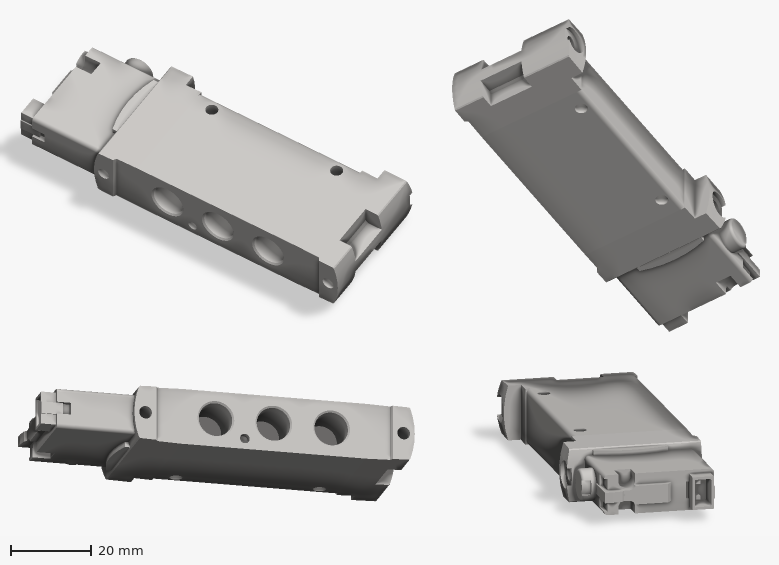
import cadquery as cq
import math

TOTAL_LENGTH = 95.4
TOTAL_DEPTH = 34.8
BODY_THICKNESS = 14.4
EPS = 0.1
MOUNT_Y = 0.9

CAP_START_X = 23.3
CAP_LENGTH = 12.3
MID_X = (CAP_START_X + TOTAL_LENGTH) / 2
CAP_CROWN = 1.1
CAP_HALF_Z_INNER = BODY_THICKNESS / 2
CAP_HALF_Z_OUTER = 6.9
CAP_EDGE_BEVEL = 0.3
CAP_TOP_Y = 30.4
BODY_TOP_Y = 30.1
BODY_EDGE_RADIUS = 1.1
TAB_LENGTH = 7.7
TAB_CROWN = 1.1
FOOT_TIP_LENGTH = 5.6
FOOT_ROOT_LENGTH = 6.1

MOUNT_HOLE_DIAMETER = 3.2
MOUNT_HOLE_INSET = 2.9
SEAT_DIAMETER = 7.1
SEAT_Y = 33.5
SIDE_HOLE_SPACING = 36.9
SIDE_HOLE_Y = 27.0
PORT_DIAMETER = 8.6
PORT_MOUTH_DIAMETER = 9.4
PORT_SPACING = 14.9
PORT_DEPTH = 11.45
PILOT_PORT_DIAMETER = 2.5
PILOT_PORT_X = 51.9
PILOT_PORT_Z = -4.5
PILOT_PORT_DEPTH = 1.9
DRILL_POINT_ANGLE = 118.0

NOTCH_LENGTH = 4.9
NOTCH_Y_MIN = 8.4
NOTCH_Y_MAX = 20.5
NOTCH_FLOOR_Z = 2.0
NOTCH_BEVEL = 0.7

LENS_Y_MIN = 8.9
LENS_Y_MAX = 27.95
LENS_CROWN_X = 21.6
LENS_EDGE_X = 23.1
LENS_TOP_Z = 6.5

BOX_Y_MIN = 1.8
BOX_Y_MAX = 30.05
BOX_THICKNESS = 10.3
BOX_HALF_Z = BOX_THICKNESS / 2
BOX_EDGE_RADIUS = 1.0
BOX_FRONT_X = 3.8
SOLENOID_FRONT_X = 8.4
SOLENOID_REAR_X = CAP_START_X + CAP_CROWN

BUTTON_DIAMETER = 8.1
BUTTON_X = 15.55
BUTTON_TOP_Y = 33.7
BUTTON_EDGE_RADIUS = 0.7
BUTTON_NOTCH_WIDTH = 3.8
BUTTON_NOTCH_FLOOR_Y = 31.4
BUTTON_CORE_DIAMETER = 6.7

CLIP_FRONT_X = 2.1
CLIP_HOOK_X = 1.1
CLIP_NECK_X = 1.5
CLIP_HALF_Z = 2.4
CLIP_Y_MIN = 12.7
CLIP_BEVEL_Y = 14.0
CLIP_SLOPE_Y_MIN = 25.4
CLIP_SLOPE_Y_MAX = 25.95
CLIP_HOOK_Y = 28.4
CLIP_TOP_Y = 30.4
STRAP_END_X = 10.9
RELIEF_Y = 29.2
RELIEF_HALF_Z = 4.2
GROOVE_WIDTH = 4.3
GROOVE_Y = 24.2
GROOVE_FLOOR_Z = 1.3
SOCKET_Y_MIN = 2.8
SOCKET_Y_MAX = 8.3
SOCKET_HALF_Z = 4.2
SOCKET_WALL = 0.7
SOCKET_CORNER_RADIUS = 0.6
SOCKET_DEPTH = 5.7
PIN_Y = 6.1
PIN_HALF_SPACING = 2.0
PIN_WIDTH_Y = 1.3
PIN_WIDTH_Z = 1.0
PIN_LENGTH = 2.4
RAIL_Y = 2.5
RAIL_END_X = 5.5
LATCH_END_X = 7.4
LATCH_FLOOR_Y = 3.2
LATCH_HALF_Z = 1.5
KEYWAY_Y_MAX = 9.0
KEYWAY_HALF_Z = 2.2
KEYWAY_DEPTH = 1.0


def block(x_range, y_range, z_range):
    """Box between the given coordinate limits."""
    size = [high - low for low, high in (x_range, y_range, z_range)]
    corner = (x_range[0], y_range[0], z_range[0])
    return cq.Workplane("XY").box(*size, centered=False).translate(corner)


def cylinder_y(x, z, diameter, y_start, y_end):
    """Cylinder along Y between two Y positions."""
    solid = cq.Solid.makeCylinder(diameter / 2, y_end - y_start, cq.Vector(x, y_start, z), cq.Vector(0, 1, 0))
    return cq.Workplane(obj=solid)


def mirrored_pair(shape, plane, base=(0, 0, 0)):
    """The shape together with its mirror image."""
    return shape.union(shape.mirror(plane, base))


def cap_blank():
    """Solenoid-side cap: crowned end in XZ, T outline in XY, crowned tab face in YZ."""
    inner_x = CAP_START_X + CAP_LENGTH
    edge_x = CAP_START_X + CAP_CROWN
    bevel_z = CAP_HALF_Z_OUTER - CAP_EDGE_BEVEL
    side = (
        cq.Workplane("XZ")
        .moveTo(inner_x, -CAP_HALF_Z_INNER)
        .lineTo(edge_x + CAP_EDGE_BEVEL, -CAP_HALF_Z_OUTER)
        .lineTo(edge_x, -bevel_z)
        .threePointArc((CAP_START_X, 0), (edge_x, bevel_z))
        .lineTo(edge_x + CAP_EDGE_BEVEL, CAP_HALF_Z_OUTER)
        .lineTo(inner_x, CAP_HALF_Z_INNER)
        .close()
        .extrude(-TOTAL_DEPTH)
    )
    outline = (
        cq.Workplane("XY")
        .polyline([
            (CAP_START_X, 0),
            (CAP_START_X + FOOT_TIP_LENGTH, 0),
            (CAP_START_X + FOOT_ROOT_LENGTH, MOUNT_Y),
            (inner_x, MOUNT_Y),
            (inner_x, CAP_TOP_Y),
            (CAP_START_X + TAB_LENGTH, CAP_TOP_Y),
            (CAP_START_X + TAB_LENGTH, TOTAL_DEPTH),
            (CAP_START_X, TOTAL_DEPTH),
        ])
        .close()
        .extrude(CAP_HALF_Z_INNER, both=True)
    )
    tab_edge_y = TOTAL_DEPTH - TAB_CROWN
    crown = (
        cq.Workplane("YZ", origin=(CAP_START_X, 0, 0))
        .moveTo(0, -CAP_HALF_Z_INNER)
        .lineTo(tab_edge_y, -CAP_HALF_Z_INNER)
        .threePointArc((TOTAL_DEPTH, 0), (tab_edge_y, CAP_HALF_Z_INNER))
        .lineTo(0, CAP_HALF_Z_INNER)
        .close()
        .extrude(CAP_LENGTH)
    )
    return side.intersect(outline).intersect(crown)


def end_cap():
    """Cap with its mounting hole and the screw seat in the tab."""
    hole_x = CAP_START_X + MOUNT_HOLE_INSET
    hole = cylinder_y(hole_x, 0, MOUNT_HOLE_DIAMETER, -EPS, TOTAL_DEPTH)
    seat = cylinder_y(hole_x, 0, SEAT_DIAMETER, SEAT_Y, TOTAL_DEPTH + EPS)
    return cap_blank().cut(hole).cut(seat)


def middle_block():
    """Prism between the caps, rounded along its two far edges."""
    x_range = (CAP_START_X + CAP_LENGTH, TOTAL_LENGTH - CAP_LENGTH)
    z_range = (-BODY_THICKNESS / 2, BODY_THICKNESS / 2)
    body = block(x_range, (MOUNT_Y, BODY_TOP_Y), z_range)
    return body.edges("|X and >Y").fillet(BODY_EDGE_RADIUS)


def port(x):
    """Main port with a short conical mouth."""
    mouth_depth = (PORT_MOUTH_DIAMETER - PORT_DIAMETER) / 2
    mouth = cq.Solid.makeCone(
        PORT_MOUTH_DIAMETER / 2, PORT_DIAMETER / 2, mouth_depth, cq.Vector(x, MOUNT_Y, 0), cq.Vector(0, 1, 0)
    )
    return cylinder_y(x, 0, PORT_DIAMETER, MOUNT_Y, MOUNT_Y + PORT_DEPTH).union(cq.Workplane(obj=mouth))


def pilot_port():
    """Small blind hole with a drill point."""
    radius = PILOT_PORT_DIAMETER / 2
    floor_y = MOUNT_Y + PILOT_PORT_DEPTH
    point_depth = radius / math.tan(math.radians(DRILL_POINT_ANGLE / 2))
    point = cq.Solid.makeCone(
        radius, 0, point_depth, cq.Vector(PILOT_PORT_X, floor_y, PILOT_PORT_Z), cq.Vector(0, 1, 0)
    )
    bore = cylinder_y(PILOT_PORT_X, PILOT_PORT_Z, PILOT_PORT_DIAMETER, MOUNT_Y, floor_y)
    return bore.union(cq.Workplane(obj=point))


def far_cap_notches():
    """Recesses in both broad faces of the far cap, bevelled at the root."""
    start_x = TOTAL_LENGTH - NOTCH_LENGTH
    profile = [
        (start_x, CAP_HALF_Z_INNER),
        (start_x, NOTCH_FLOOR_Z + NOTCH_BEVEL),
        (start_x + NOTCH_BEVEL, NOTCH_FLOOR_Z),
        (TOTAL_LENGTH, NOTCH_FLOOR_Z),
        (TOTAL_LENGTH, CAP_HALF_Z_INNER),
    ]
    notch = (
        cq.Workplane("XZ", origin=(0, NOTCH_Y_MIN, 0))
        .polyline(profile)
        .close()
        .extrude(NOTCH_Y_MIN - NOTCH_Y_MAX)
    )
    return mirrored_pair(notch, "XY")


def lens_guards():
    """Lens-shaped ledges above and below the solenoid."""
    lens = (
        cq.Workplane("XY", origin=(0, 0, BOX_HALF_Z))
        .moveTo(SOLENOID_REAR_X, LENS_Y_MIN)
        .lineTo(LENS_EDGE_X, LENS_Y_MIN)
        .threePointArc((LENS_CROWN_X, (LENS_Y_MIN + LENS_Y_MAX) / 2), (LENS_EDGE_X, LENS_Y_MAX))
        .lineTo(SOLENOID_REAR_X, LENS_Y_MAX)
        .close()
        .extrude(LENS_TOP_Z - BOX_HALF_Z)
    )
    return mirrored_pair(lens, "XY")


def rounded_box(x_start, x_end):
    """Length of the section shared by solenoid and plug box."""
    box = block((x_start, x_end), (BOX_Y_MIN, BOX_Y_MAX), (-BOX_HALF_Z, BOX_HALF_Z))
    return box.edges("|X").fillet(BOX_EDGE_RADIUS)


def override_button():
    """Round button, notched on the side that faces the plug box."""
    root_y = BOX_Y_MAX - BOX_EDGE_RADIUS - EPS
    button = cylinder_y(BUTTON_X, 0, BUTTON_DIAMETER, root_y, BUTTON_TOP_Y)
    button = button.faces(">Y").edges().fillet(BUTTON_EDGE_RADIUS)
    half_notch = BUTTON_NOTCH_WIDTH / 2
    notch = block(
        (BUTTON_X - BUTTON_DIAMETER, BUTTON_X),
        (BUTTON_NOTCH_FLOOR_Y, BUTTON_TOP_Y),
        (-half_notch, half_notch),
    )
    core = cylinder_y(BUTTON_X, 0, BUTTON_CORE_DIAMETER, root_y, BUTTON_TOP_Y)
    return button.cut(notch.cut(core))


def make_valve():
    """Valve body with caps, ports and solenoid as one solid."""
    caps = mirrored_pair(end_cap(), "YZ", (MID_X, 0, 0))
    valve = middle_block().union(caps).cut(far_cap_notches())
    for step in (-1, 0, 1):
        valve = valve.cut(port(MID_X + step * PORT_SPACING))
    valve = valve.cut(pilot_port())
    for side in (-1, 1):
        centre = (MID_X + side * SIDE_HOLE_SPACING / 2, SIDE_HOLE_Y)
        hole = cq.Workplane("XY").center(*centre).circle(MOUNT_HOLE_DIAMETER / 2)
        valve = valve.cut(hole.extrude(BODY_THICKNESS, both=True))
    solenoid = rounded_box(SOLENOID_FRONT_X, SOLENOID_REAR_X).union(override_button())
    return valve.union(solenoid).union(lens_guards())


def clip():
    """Hooked plate on the front face with its strap over the far edge."""
    outline = [
        (BOX_FRONT_X, CLIP_Y_MIN),
        (CLIP_FRONT_X, CLIP_BEVEL_Y),
        (CLIP_FRONT_X, CLIP_SLOPE_Y_MIN),
        (CLIP_NECK_X, CLIP_SLOPE_Y_MAX),
        (CLIP_HOOK_X, CLIP_HOOK_Y),
        (CLIP_HOOK_X, CLIP_TOP_Y),
        (BOX_FRONT_X, CLIP_TOP_Y),
    ]
    plate = cq.Workplane("XY").polyline(outline).close().extrude(CLIP_HALF_Z, both=True)
    tongue = block((0, BOX_FRONT_X), (GROOVE_Y, CLIP_TOP_Y), (-GROOVE_FLOOR_Z, GROOVE_FLOOR_Z))
    wide_part = block((0, BOX_FRONT_X), (0, GROOVE_Y), (-CLIP_HALF_Z, CLIP_HALF_Z))
    strap = block((BOX_FRONT_X, STRAP_END_X), (BOX_Y_MAX, CLIP_TOP_Y), (-GROOVE_FLOOR_Z, GROOVE_FLOOR_Z))
    return plate.intersect(tongue.union(wide_part)).union(strap)


def grooves():
    """Round-bottomed grooves across both broad faces."""
    radius = GROOVE_WIDTH / 2
    centre_z = GROOVE_FLOOR_Z + radius
    groove = (
        cq.Workplane("YZ")
        .moveTo(GROOVE_Y - radius, BOX_HALF_Z + EPS)
        .lineTo(GROOVE_Y - radius, centre_z)
        .threePointArc((GROOVE_Y, GROOVE_FLOOR_Z), (GROOVE_Y + radius, centre_z))
        .lineTo(GROOVE_Y + radius, BOX_HALF_Z + EPS)
        .close()
        .extrude(SOLENOID_FRONT_X)
    )
    return mirrored_pair(groove, "XY")


def clip_reliefs():
    """Reliefs in the far edge on both sides of the clip tongue."""
    relief = block(
        (BOX_FRONT_X, SOLENOID_FRONT_X),
        (RELIEF_Y, BOX_Y_MAX),
        (GROOVE_FLOOR_Z, RELIEF_HALF_Z),
    )
    return mirrored_pair(relief, "XY")


def socket_cavity():
    """Opening of the plug socket, leaving its two contact pins."""
    inner_half_z = SOCKET_HALF_Z - SOCKET_WALL
    cavity = block(
        (0, SOCKET_DEPTH),
        (SOCKET_Y_MIN + SOCKET_WALL, SOCKET_Y_MAX - SOCKET_WALL),
        (-inner_half_z, inner_half_z),
    )
    cavity = cavity.edges("|X and <Y").fillet(SOCKET_CORNER_RADIUS)
    for side in (-1, 1):
        pin = cq.Workplane("XY").box(PIN_LENGTH, PIN_WIDTH_Y, PIN_WIDTH_Z)
        cavity = cavity.cut(pin.translate((SOCKET_DEPTH - PIN_LENGTH / 2, PIN_Y, side * PIN_HALF_SPACING)))
    return cavity


def make_plug_box():
    """Electrical box with clip, plug socket and latch rail."""
    box = rounded_box(BOX_FRONT_X, SOLENOID_FRONT_X).union(clip()).cut(grooves()).cut(clip_reliefs())
    latch_slot = block((BOX_FRONT_X, LATCH_END_X), (BOX_Y_MIN, LATCH_FLOOR_Y), (-LATCH_HALF_Z, LATCH_HALF_Z))
    keyway = block(
        (BOX_FRONT_X, BOX_FRONT_X + KEYWAY_DEPTH),
        (SOCKET_Y_MAX, KEYWAY_Y_MAX),
        (-KEYWAY_HALF_Z, KEYWAY_HALF_Z),
    )
    box = box.cut(latch_slot).cut(keyway)
    socket = block((0, BOX_FRONT_X), (SOCKET_Y_MIN, SOCKET_Y_MAX), (-SOCKET_HALF_Z, SOCKET_HALF_Z))
    rail = block((0, RAIL_END_X), (RAIL_Y, LATCH_FLOOR_Y), (-LATCH_HALF_Z, LATCH_HALF_Z))
    return box.union(socket).union(rail).cut(socket_cavity())


valve = make_valve()
plug_box = make_plug_box()

result = cq.Compound.makeCompound([valve.solids().val(), plug_box.solids().val()])